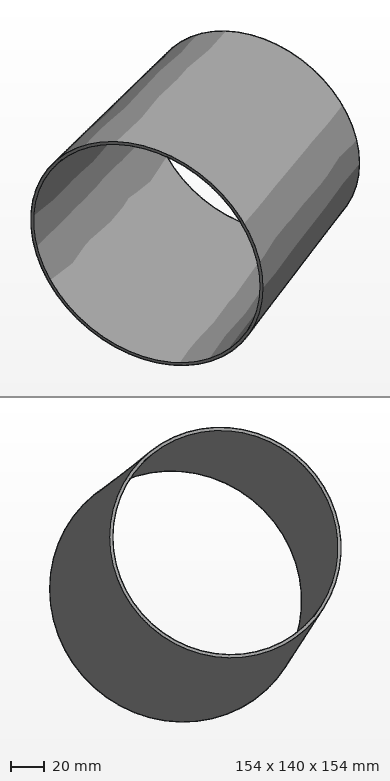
import cadquery as cq

large_diameter = 154.0
small_diameter = 139.7
length = 140.0
wall = 2.0

large_radius = large_diameter / 2
small_radius = small_diameter / 2

wall_section = (
    cq.Workplane("XY")
    .moveTo(large_radius - wall, -length / 2)
    .lineTo(large_radius, -length / 2)
    .lineTo(small_radius, length / 2)
    .lineTo(small_radius - wall, length / 2)
    .close()
)

result = wall_section.revolve(360, (0, 0, 0), (0, 1, 0))